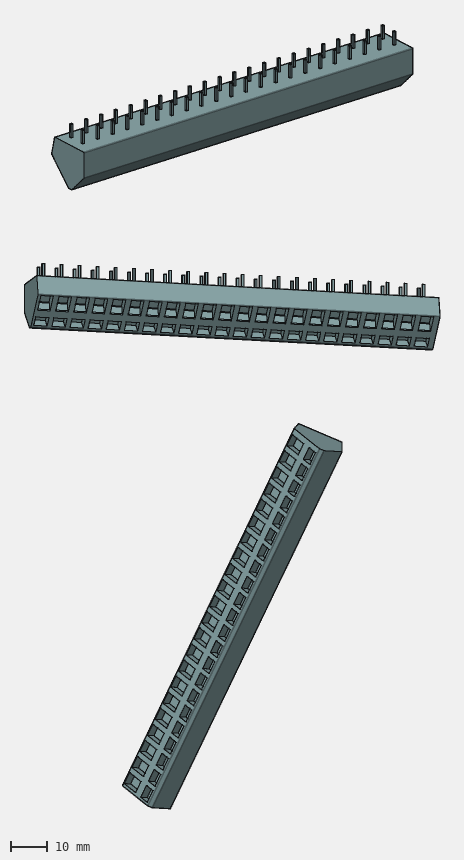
import cadquery as cq
import math

LENGTH = 112.8
WIDTH = 14.3
BODY_HEIGHT = 13.1
LEFT_CORNER_Z = -5.5
LEFT_SETBACK = 1.4
KEEL_WIDTH = 1.4
CORNER_RADIUS = 0.2

KEEL_LEFT = BODY_HEIGHT + LEFT_CORNER_Z
KEEL_RIGHT = KEEL_LEFT + KEEL_WIDTH
RIGHT_CORNER_Z = -BODY_HEIGHT + (WIDTH - KEEL_RIGHT)

ROW_COUNT = 22
ROW_SPAN = 106.7
ROW_PITCH = ROW_SPAN / (ROW_COUNT - 1)
FIRST_ROW_MARGIN = 3.5
FIRST_ROW_Y = -LENGTH / 2 + FIRST_ROW_MARGIN
PIN_SIZE = 0.7
PIN_HEIGHT = 4.0
PIN_COLUMN_X = 4.3

POCKET_DEPTH = 2.7
UPPER_POCKET_TOP_Z = -5.8
UPPER_POCKET_BOTTOM_Z = -9.1
UPPER_POCKET_WIDTH = 3.5
LOWER_POCKET_TOP_Z = -10.7
LOWER_POCKET_BOTTOM_Z = -12.6
LOWER_POCKET_WIDTH = 3.7

STEP_INSET = 0.6
STEP_HEIGHT = 1.9
STEP_TILT_DEGREES = 13


def make_housing():
    outline = [
        (LEFT_SETBACK, 0),
        (0, LEFT_CORNER_Z),
        (KEEL_LEFT, -BODY_HEIGHT),
        (KEEL_RIGHT, -BODY_HEIGHT),
        (WIDTH, RIGHT_CORNER_Z),
        (WIDTH, 0),
    ]
    bar = cq.Workplane("XZ").polyline(outline).close().extrude(LENGTH / 2, both=True)
    return bar.edges("|Y").fillet(CORNER_RADIUS)


def point_at(face_z, depth):
    """XZ point at a depth square to the lower left face, starting from height face_z on it."""
    inward = depth * math.sqrt(0.5)
    return (LEFT_CORNER_Z - face_z + inward, face_z + inward)


def rows_of(profile, width):
    """One prism of the given XZ profile for every row of pins."""
    prism = cq.Workplane("XZ").polyline(profile).close().extrude(width / 2, both=True).val()
    rows = cq.Workplane("XY")
    for row in range(ROW_COUNT):
        rows.add(prism.translate(cq.Vector(0, FIRST_ROW_Y + row * ROW_PITCH, 0)))
    return rows.combine(clean=False)


def upper_pockets():
    step_foot = point_at(UPPER_POCKET_BOTTOM_Z, STEP_INSET)
    step_run = STEP_HEIGHT * math.tan(math.radians(STEP_TILT_DEGREES))
    step_head = (step_foot[0] + step_run, step_foot[1] + STEP_HEIGHT)
    wall_z = (step_head[1] - step_head[0] + LEFT_CORNER_Z) / 2
    profile = [
        point_at(UPPER_POCKET_BOTTOM_Z, 0),
        step_foot,
        step_head,
        point_at(wall_z, POCKET_DEPTH),
        point_at(UPPER_POCKET_TOP_Z, POCKET_DEPTH),
        point_at(UPPER_POCKET_TOP_Z, 0),
    ]
    return rows_of(profile, UPPER_POCKET_WIDTH)


def lower_pockets():
    profile = [
        point_at(LOWER_POCKET_BOTTOM_Z, 0),
        point_at(LOWER_POCKET_BOTTOM_Z, POCKET_DEPTH),
        point_at(LOWER_POCKET_TOP_Z, POCKET_DEPTH),
        point_at(LOWER_POCKET_TOP_Z, 0),
    ]
    return rows_of(profile, LOWER_POCKET_WIDTH)


def make_pins():
    return (
        cq.Workplane("XY")
        .center(PIN_COLUMN_X, FIRST_ROW_Y)
        .rarray(ROW_PITCH, ROW_PITCH, 2, ROW_COUNT, center=False)
        .rect(PIN_SIZE, PIN_SIZE)
        .extrude(PIN_HEIGHT)
    )


result = make_housing().cut(upper_pockets()).cut(lower_pockets()).union(make_pins())